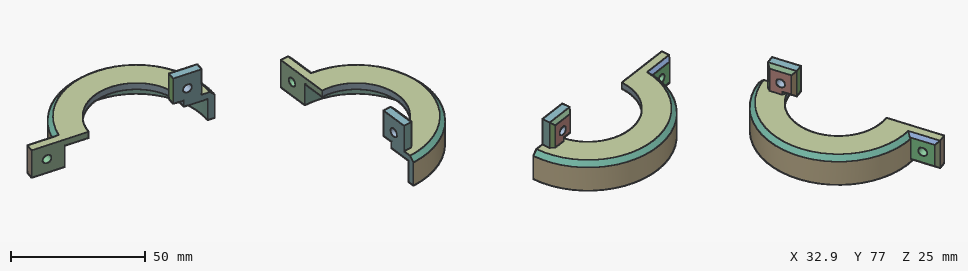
import cadquery as cq
import math

outer_radius = 33.0
inner_radius = 20.0
recess_radius = 30.0
ring_height = 13.0
flange_thickness = 3.0
ring_chamfer = 2.0

joint_clearance = 0.1
joint_x = -joint_clearance

tab_thickness = 5.0
tab_front_x = joint_x - tab_thickness
tab_chamfer = 1.5
hole_diameter = 3.7

side_tab_end = -44.0
side_tab_length = 13.0
side_tab_overlap = 3.0
side_tab_root = side_tab_end + side_tab_length + side_tab_overlap
side_hole_y = side_tab_end + side_tab_length / 2
side_hole_z = ring_height / 2

upright_tab_y_min = 15.5
upright_tab_y_max = 27.5
upright_tab_top = 25.0
upright_hole_y = (upright_tab_y_min + upright_tab_y_max) / 2
upright_hole_z = 18.15

bore_edge_y = math.sqrt(inner_radius**2 - tab_front_x**2)
foot_start_y = bore_edge_y + tab_chamfer
foot_taper = 1.0


def cylinder(radius, height):
    return cq.Workplane("XY").circle(radius).extrude(height)


def tab(y_min, y_max, z_min, z_max):
    """Plate behind the joint face, bevelled around its -X face."""
    plate = cq.Workplane("XY").box(tab_thickness, y_max - y_min, z_max - z_min, centered=False)
    plate = plate.faces("<X").edges().chamfer(tab_chamfer)
    return plate.translate((tab_front_x, y_min, z_min))


def half_ring_with_side_tab():
    """Chamfered half disc and side tab, hollowed by the bore and the wider recess below."""
    disc = cylinder(outer_radius, ring_height).faces(">Z").edges().chamfer(ring_chamfer)
    beyond_joint = cq.Workplane("XY").box(
        outer_radius - joint_x, 2 * outer_radius, ring_height, centered=(False, True, False)
    )
    half_disc = disc.cut(beyond_joint.translate((joint_x, 0, 0)))
    body = half_disc.union(tab(side_tab_end, side_tab_root, 0, ring_height))
    body = body.cut(cylinder(recess_radius, ring_height - flange_thickness))
    return body.cut(cylinder(inner_radius, ring_height))


def upright_tab_foot():
    """Fill under the bottom bevel of the upright tab, where it rests on the ring."""
    bevel_back_x = tab_front_x + tab_chamfer
    outline = [
        (tab_front_x, foot_start_y),
        (bevel_back_x, foot_start_y - foot_taper),
        (bevel_back_x, upright_tab_y_max),
        (tab_front_x, upright_tab_y_max - tab_chamfer),
    ]
    base = cq.Workplane("XY").workplane(offset=ring_height)
    return base.polyline(outline).close().extrude(tab_chamfer)


def bolt_hole(y, z):
    """Cylinder along X, from the ring axis plane through the full tab thickness."""
    hole = cq.Workplane("YZ").center(y, z).circle(hole_diameter / 2)
    return hole.extrude(tab_front_x)


upright_tab = tab(upright_tab_y_min, upright_tab_y_max, ring_height, upright_tab_top)

result = half_ring_with_side_tab().union(upright_tab).union(upright_tab_foot())
result = result.cut(bolt_hole(side_hole_y, side_hole_z))
result = result.cut(bolt_hole(upright_hole_y, upright_hole_z))